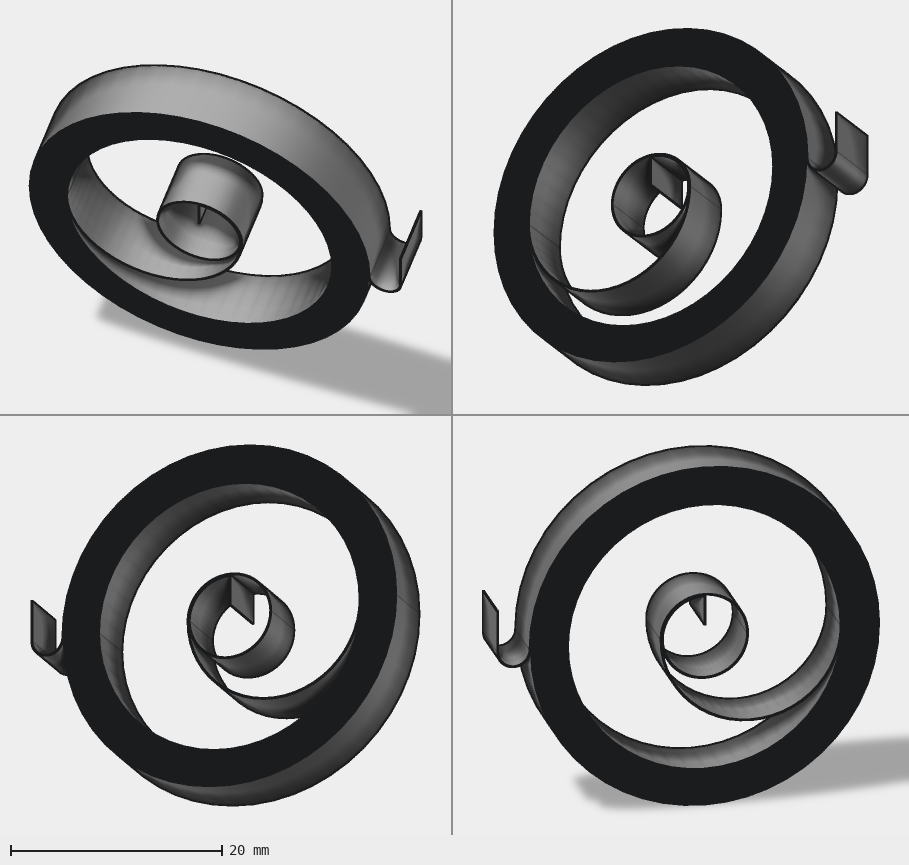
import cadquery as cq
import math

overall_length = 37.13
strip_width = 6.0
pitch = 0.13
turn_gap = 0.002
strip_thickness = pitch - turn_gap
half_thickness = strip_thickness / 2

hub_outer_radius = 4.27
tail_end_z = 1.15

hook_inner_width = 3.0
hook_end_z = 4.1

coil_outer_radius = (overall_length - hook_inner_width - strip_thickness) / 2
coil_turns = 28

DIAGONAL = math.sqrt(0.5)


def centerline_crossings():
    """X of the strip centre at z = 0, in winding order.

    The strip heads down at even entries and up at odd ones.
    """
    hub = hub_outer_radius - half_thickness
    crossings = [hub - pitch, -hub, hub]
    for turn in range(coil_turns, -1, -1):
        radius = coil_outer_radius - half_thickness - turn * pitch
        crossings += [-radius, radius]
    crossings.append(coil_outer_radius + hook_inner_width + half_thickness)
    return crossings


def wall_crossings(crossings, offset):
    """Shift the crossings to one face of the strip; a positive offset is to the left of travel."""
    return [x + offset if i % 2 == 0 else x - offset for i, x in enumerate(crossings)]


def half_circle(profile, x_start, x_end, side):
    """Join two points at z = 0 by a half circle above (side = 1) or below (side = -1)."""
    radius = abs(x_end - x_start) / 2
    return profile.threePointArc(((x_start + x_end) / 2, side * radius), (x_end, 0))


centers = centerline_crossings()
left_wall = wall_crossings(centers, half_thickness)
right_wall = wall_crossings(centers, -half_thickness)
last = len(centers) - 1

corner_z = math.sqrt(left_wall[0] ** 2 - strip_thickness**2)
profile = (
    cq.Workplane("XZ")
    .moveTo(-strip_thickness, tail_end_z)
    .lineTo(-strip_thickness, corner_z)
    .threePointArc((left_wall[0] * DIAGONAL, left_wall[0] * DIAGONAL), (left_wall[0], 0))
)

for i in range(last):
    profile = half_circle(profile, left_wall[i], left_wall[i + 1], side=-1 if i % 2 == 0 else 1)

profile = profile.lineTo(left_wall[last], hook_end_z).lineTo(right_wall[last], hook_end_z)
profile = profile.lineTo(right_wall[last], 0)

for i in range(last, 0, -1):
    profile = half_circle(profile, right_wall[i], right_wall[i - 1], side=1 if i % 2 == 0 else -1)

profile = (
    profile.threePointArc((right_wall[0] * DIAGONAL, right_wall[0] * DIAGONAL), (0, right_wall[0]))
    .lineTo(0, tail_end_z)
    .close()
)

result = profile.extrude(strip_width / 2, both=True)